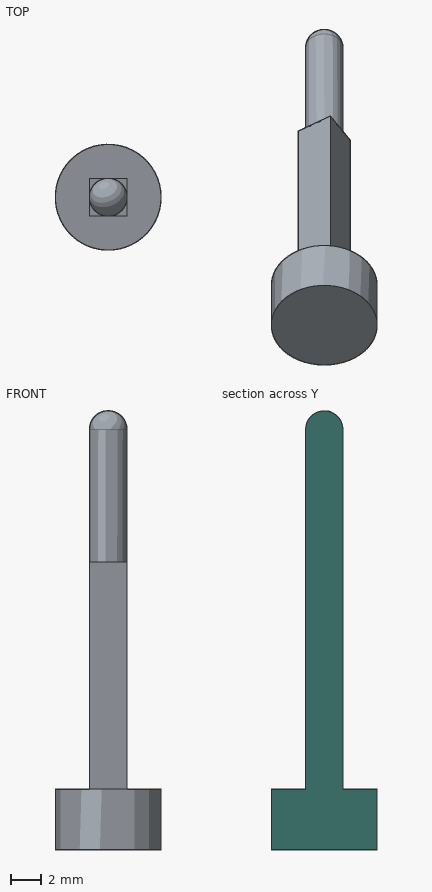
import cadquery as cq

head_diameter = 7.0
head_height = 4.0
shank_width = 2.5
shank_length = 15.0
pin_length = 10.0

pin_radius = shank_width / 2
pin_straight_length = pin_length - pin_radius
shank_top = head_height + shank_length


def make_head():
    """Cylindrical head standing on the XY plane."""
    return cq.Workplane("XY").circle(head_diameter / 2).extrude(head_height)


def make_shank():
    """Square shank rising from the top of the head."""
    return (
        cq.Workplane("XY")
        .workplane(offset=head_height)
        .rect(shank_width, shank_width)
        .extrude(shank_length)
    )


def make_pin():
    """Round pin with a hemispherical tip, revolved about the Z axis."""
    dome_base = shank_top + pin_straight_length
    tip = shank_top + pin_length
    dome_start = (pin_radius, dome_base)
    return (
        cq.Workplane("XZ")
        .moveTo(0, shank_top)
        .lineTo(pin_radius, shank_top)
        .lineTo(*dome_start)
        .radiusArc((0, tip), -pin_radius)
        .close()
        .revolve(360, (0, 0, 0), (0, 1, 0))
    )


result = make_head().union(make_shank()).union(make_pin())